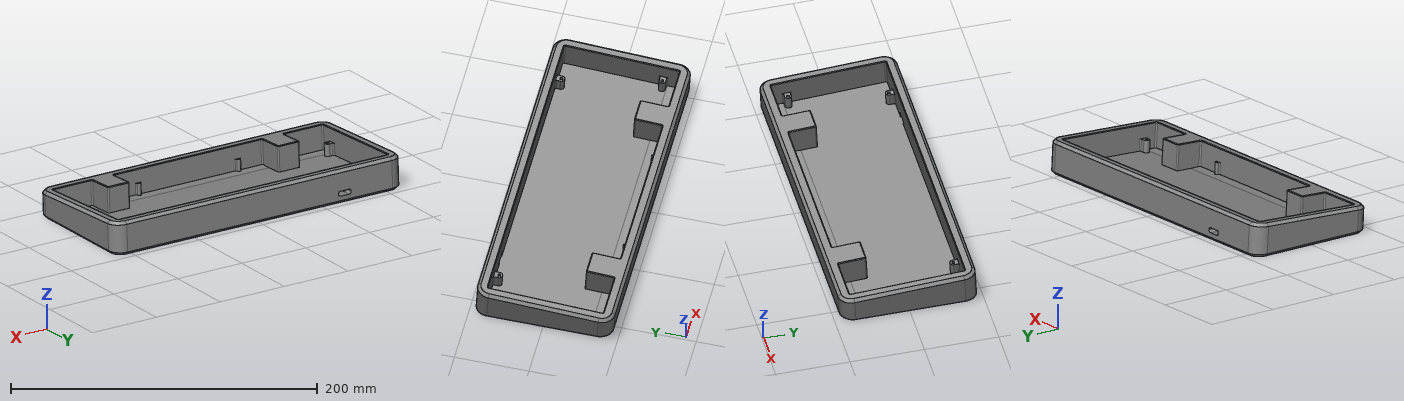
import cadquery as cq
import math

length = 225.3
depth = 92.0
back_height = 23.0
slope_angle = 3.0
corner_radius = 9.0
edge_chamfer = 2.0

wall = 7.0
front_wall = 7.5
cavity_corner_radius = 1.0
mouth_chamfer = 0.56
cavity_depth = 18.0
level_floor = 1.05

block_width = 16.7
block_length = 19.0
block_offset = 66.5

post_height = 8.3
post_radius = 2.3
post_reach = 3.4
post_hole_diameter = 1.8
post_hole_depth = 6.8
back_post_offset = 85.8
side_post_position = -28.2
rib_radius = 1.4
rib_reach = 1.0
rib_offset = 39.0
root_radius = 0.79

port_width = 10.0
port_height = 3.4
port_end_radius = 1.67
port_position = -block_offset

slope = math.radians(slope_angle)
rim_normal = cq.Vector(0, -math.sin(slope), math.cos(slope))
along_rim_normal = cq.selectors.ParallelDirSelector(rim_normal)
toward_rim = cq.selectors.DirectionMinMaxSelector(rim_normal)
rim_level = (back_height - (depth / 2 - edge_chamfer) * math.sin(slope)) / math.cos(slope)
floor_level = rim_level - cavity_depth
post_level = floor_level + post_height
base_level = -depth / 2

cavity_right = length / 2 - wall
cavity_back = depth / 2 - wall
cavity_front = front_wall - depth / 2
sides = (-1, 1)


def sloped(level):
    """Workplane parallel to the rim; its local Y runs up the slope."""
    return cq.Workplane(cq.Plane(origin=rim_normal * level, xDir=(1, 0, 0), normal=rim_normal))


def sloped_box(x_range, y_range, levels):
    """Box between two local X, two local Y and two levels along the rim normal."""
    size_x = x_range[1] - x_range[0]
    size_y = y_range[1] - y_range[0]
    plan = sloped(levels[0]).center(sum(x_range) / 2, sum(y_range) / 2).rect(size_x, size_y)
    return plan.extrude(levels[1] - levels[0])


def space_above(height):
    """Large block that starts at a level height and covers the whole case."""
    return cq.Workplane("XY", origin=(0, 0, height)).rect(2 * length, 2 * length).extrude(length)


def make_shell():
    body = sloped_box((-length / 2, length / 2), (-depth / 2, depth / 2), (base_level, rim_level))
    body = body.edges(along_rim_normal).fillet(corner_radius)
    body = body.faces(toward_rim).chamfer(edge_chamfer)
    return body.intersect(space_above(0)).faces("<Z").chamfer(edge_chamfer)


def make_cavity():
    """Space inside the walls and around the blocks, before posts and floor are taken off."""
    levels = (base_level, rim_level)
    space = sloped_box((-cavity_right, cavity_right), (cavity_front, cavity_back), levels)
    for side in sides:
        middle = side * block_offset
        across = (middle - block_width / 2, middle + block_width / 2)
        space = space.cut(sloped_box(across, (cavity_front, cavity_front + block_length), levels))
    return space.edges(along_rim_normal).fillet(cavity_corner_radius)


def make_wall_post(x, y, radius, reach, turn):
    """Round-ended post with its axis at (x, y); turn 0 puts its wall on the -Y side."""
    flare = radius + root_radius
    inside_wall = -reach - root_radius
    outline = (
        sloped(base_level).center(x, y).transformed(rotate=(0, 0, turn))
        .moveTo(-flare, inside_wall)
        .lineTo(-flare, -reach)
        .radiusArc((-radius, -reach + root_radius), -root_radius)
        .lineTo(-radius, 0)
        .threePointArc((0, radius), (radius, 0))
        .lineTo(radius, -reach + root_radius)
        .radiusArc((flare, -reach), -root_radius)
        .lineTo(flare, inside_wall)
        .close()
    )
    return outline.extrude(post_level - base_level)


def make_post_hole(x, y):
    hole = sloped(post_level - post_hole_depth).center(x, y).circle(post_hole_diameter / 2)
    return hole.extrude(post_hole_depth)


def make_port():
    half_width = port_width / 2
    across = (port_position - half_width, port_position + half_width)
    port = sloped_box(across, (cavity_back, depth), (floor_level, floor_level + port_height))
    along_slope = cq.selectors.ParallelDirSelector(cq.Vector(0, math.cos(slope), math.sin(slope)))
    return port.edges(along_slope).fillet(port_end_radius)


screw_posts = []
for side in sides:
    screw_posts.append((side * back_post_offset, cavity_back - post_reach, 180))
    screw_posts.append((side * (cavity_right - post_reach), side_post_position, side * 90))

cavity = make_cavity()
for x, y, turn in screw_posts:
    cavity = cavity.cut(make_wall_post(x, y, post_radius, post_reach, turn))
for side in sides:
    cavity = cavity.cut(make_wall_post(side * rib_offset, cavity_front + rib_reach, rib_radius, rib_reach, 0))

cavity = cavity.intersect(sloped_box((-length, length), (-depth, depth), (floor_level, rim_level)))
cavity = cavity.intersect(space_above(level_floor))

result = make_shell().cut(cavity)
rim = result.faces(toward_rim).val()
result = result.newObject(rim.innerWires()[0].Edges()).chamfer(mouth_chamfer)

for x, y, turn in screw_posts:
    result = result.cut(make_post_hole(x, y))
result = result.cut(make_port())